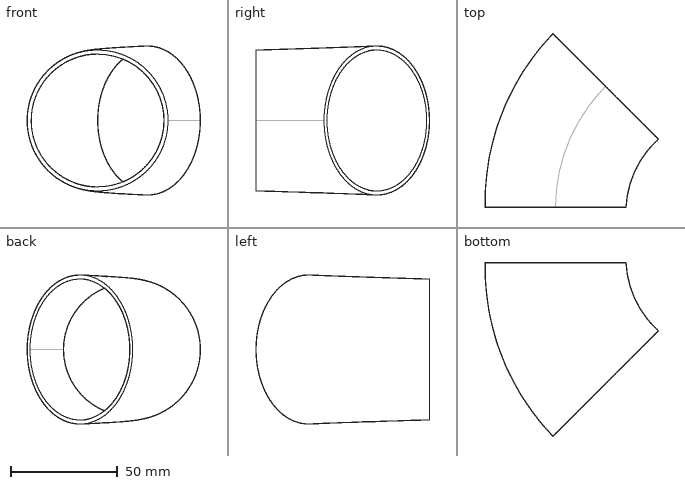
import cadquery as cq
import math

bend_radius = 80.05
bend_angle = 45
small_diameter = 66.0
large_diameter = 69.9
wall = 1.95

bend_centre = cq.Vector(bend_radius, 0, 0)


def outward_direction(angle):
    """Unit vector from the bend centre toward the centreline."""
    return cq.Vector(-math.cos(math.radians(angle)), math.sin(math.radians(angle)), 0)


def centreline_point(angle):
    """Point on the centreline arc."""
    return bend_centre + outward_direction(angle) * bend_radius


def round_section(angle, diameter):
    """Circle around the centreline, square to its heading."""
    outward = outward_direction(angle)
    heading = cq.Vector(outward.y, -outward.x, 0)
    return cq.Wire.makeCircle(diameter / 2, centreline_point(angle), heading)


def tapered_bend(start_diameter, end_diameter):
    """Solid bend whose round section grows evenly along the centreline arc."""
    path = cq.Edge.makeThreePointArc(
        centreline_point(0), centreline_point(bend_angle / 2), centreline_point(bend_angle)
    )
    sections = [round_section(0, start_diameter), round_section(bend_angle, end_diameter)]
    return cq.Workplane(cq.Solid.sweep_multi(sections, path))


outer = tapered_bend(small_diameter, large_diameter)
bore = tapered_bend(small_diameter - 2 * wall, large_diameter - 2 * wall)
result = outer.cut(bore)